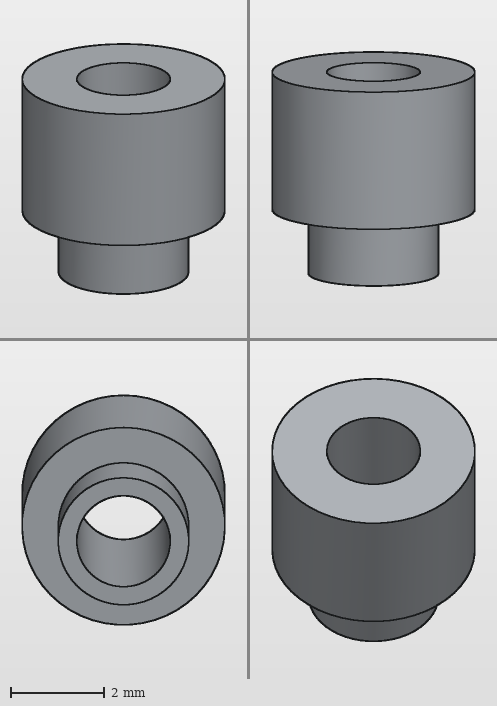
import cadquery as cq

total_height = 4.4
spigot_height = 1.4
body_diameter = 4.35
spigot_diameter = 2.8
bore_diameter = 2.0

body_height = total_height - spigot_height

spigot = cq.Workplane("XY").circle(spigot_diameter / 2).extrude(spigot_height)

bushing = (
    spigot.faces(">Z")
    .workplane()
    .circle(body_diameter / 2)
    .extrude(body_height)
)

result = bushing.faces(">Z").workplane().hole(bore_diameter)